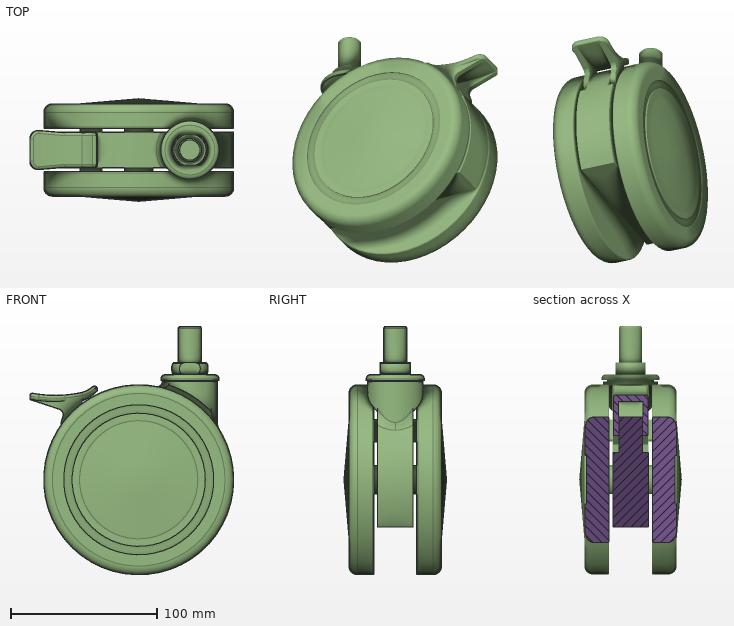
import cadquery as cq
import math


wheel_radius = 65.02
wheel_inner_y = 14.6
wheel_face_y = 31.6
hub_apex_y = 35.1
tread_round = 6.0
inner_edge_round = 1.0
groove_outer_radius = 51.3
groove_inner_radius = 45.5
groove_depth = 1.0
hub_cone_radius = 40.5

body_radius = 65.0
body_half_width = 12.2
body_bottom_z = -32.5
axle_boss_radius = 9.9
wheel_clearance_radius = 68.0
neck_x = 35.0
neck_radius = 18.9
neck_top_z = 67.2
neck_root_z = 25.5
neck_front_round = 3.4
neck_rear_round = 10.2

brake_bar_distance = 46.8
brake_bar_length = 19.4
brake_bar_offset = 0.7
brake_bar_thickness = 2.0
brake_bar_angle = 45.0

rib_half_width = 8.2
pocket_wall_x = -38.8
pocket_rim_z = 28.5
pocket_rim_x = -math.sqrt(body_radius**2 - pocket_rim_z**2)

lever_left_x = -74.55
lever_tip_x = -28.2
lever_pad_half_width = 13.5
lever_half_width = 11.9
pad_corner_round = 6.0
pad_taper_start_x = -68.3
pad_taper_end_x = -50.3
tip_corner_round = 1.7
lever_top_round = 2.0
lever_bottom_round = 1.0
pad_left_top_z = 59.7
pad_left_bottom_z = 54.9
bowl_x = -56.6
bowl_top_z = 57.8
bowl_bottom_z = 53.4
bend_x = pocket_wall_x
bend_top_z = 59.8
bend_bottom_z = 54.0
sweep_top_middle = (-33.5, 62.2)
sweep_bottom_middle = (-33.0, 57.0)
tip_top_z = 67.3
tip_bottom_z = 61.0

gusset_end = (-54.0, 48.1)
gusset_round_middle = (-52.2, 46.2)
heel_start = (-52.0, 42.8)
heel_middle = (-53.2, 37.4)
heel_end = (-51.7, 32.0)
cheek_bottom_z = 23.8

ring_radius = 16.0
collar_bottom_z = 68.0
collar_top_z = 71.9
collar_radius = 19.9
collar_round = 2.9
nut_top_z = 80.0
nut_middle_radius = 12.5
nut_shoulder_radius = 11.9
nut_end_radius = 11.0
nut_edge_height = 0.7
nut_half_flats = 10.4
stud_radius = 8.0
stud_chamfer = 1.0
stud_top_z = 170.0 - wheel_radius


def slab(sketch, y_start, y_end):
    """Extrude an XZ outline from y_start to y_end."""
    return sketch.extrude(-(y_end - y_start)).translate((0, y_start, 0))


def on_both_sides(shape):
    """The shape together with its mirror image across the XZ mid-plane."""
    return shape.union(shape.mirror("XZ"))


def disc(radius, y_start, y_end):
    return slab(cq.Workplane("XZ").circle(radius), y_start, y_end)


def make_wheel(side):
    """One wheel; side is -1 or +1 along Y."""
    profile = (
        cq.Workplane("XY")
        .moveTo(0, wheel_inner_y)
        .lineTo(wheel_radius, wheel_inner_y)
        .lineTo(wheel_radius, wheel_face_y)
        .lineTo(groove_outer_radius, wheel_face_y)
        .lineTo(groove_outer_radius, wheel_face_y - groove_depth)
        .lineTo(groove_inner_radius, wheel_face_y - groove_depth)
        .lineTo(groove_inner_radius, wheel_face_y)
        .lineTo(hub_cone_radius, wheel_face_y)
        .lineTo(0, hub_apex_y)
        .close()
    )
    wheel = profile.revolve(360, (0, 0, 0), (0, 1, 0))
    tread_edges = wheel.edges(cq.selectors.RadiusNthSelector(-1))
    wheel = tread_edges.edges(">Y").fillet(tread_round)
    wheel = wheel.faces("<Y").edges().fillet(inner_edge_round)
    return wheel if side > 0 else wheel.mirror("XZ")


def make_neck():
    """Vertical neck, narrowed to the body width where it passes between the wheels."""
    neck = (
        cq.Workplane("XY", origin=(neck_x, 0, neck_root_z))
        .circle(neck_radius)
        .extrude(neck_top_z - neck_root_z)
    )
    wheel_clearance = disc(wheel_clearance_radius, body_half_width, neck_radius)
    return neck.cut(on_both_sides(wheel_clearance))


def make_blend(radius, toward_x):
    """Body-wide slice of the rounded corner on one side (-1 front, 1 rear) of the neck."""
    rim = disc(body_radius, -body_radius, body_radius)
    tall_neck = cq.Workplane("XY").center(neck_x, 0).circle(neck_radius).extrude(2 * body_radius)
    corner_x = neck_x + toward_x * neck_radius
    corner_z = math.sqrt(body_radius**2 - corner_x**2)
    corner = cq.selectors.NearestToPointSelector((corner_x, 0, corner_z))
    rounded = rim.union(tall_neck).edges(corner).fillet(radius)
    window = cq.Workplane("XY", origin=(corner_x, 0, neck_root_z)).box(
        2 * neck_radius, 2 * body_half_width, neck_top_z - neck_root_z, centered=(True, True, False)
    )
    return rounded.intersect(window)


def make_housing():
    body = disc(body_radius, -body_half_width, body_half_width)
    below = cq.Workplane("XY", origin=(0, 0, body_bottom_z)).rect(3 * body_radius, 3 * body_radius)
    housing = body.cut(below.extrude(-body_radius)).union(make_neck())
    housing = housing.union(make_blend(neck_front_round, -1)).union(make_blend(neck_rear_round, 1))

    pocket_outline = (
        cq.Workplane("XZ")
        .moveTo(pocket_rim_x, pocket_rim_z)
        .lineTo(pocket_wall_x, pocket_rim_z - (pocket_wall_x - pocket_rim_x))
        .lineTo(pocket_wall_x, body_radius)
        .lineTo(-body_radius, body_radius)
        .close()
    )
    housing = housing.cut(on_both_sides(slab(pocket_outline, rib_half_width, wheel_inner_y)))

    bar_outline = (
        cq.Workplane("XZ")
        .center(brake_bar_offset, brake_bar_distance)
        .rect(brake_bar_length, brake_bar_thickness)
    )
    bar = slab(bar_outline, body_half_width, wheel_inner_y)
    bar = bar.rotate((0, 0, 0), (0, 1, 0), -brake_bar_angle)
    axle = disc(axle_boss_radius, -wheel_inner_y, wheel_inner_y)
    return housing.union(axle).union(on_both_sides(bar))


def make_pad_planform():
    """Seen from above: wide rounded pad tapering to the lever width."""
    corners = (
        cq.Workplane("XY")
        .moveTo(lever_left_x, -lever_pad_half_width)
        .lineTo(pad_taper_start_x, -lever_pad_half_width)
        .lineTo(pad_taper_end_x, -lever_half_width)
        .lineTo(lever_tip_x, -lever_half_width)
        .lineTo(lever_tip_x, lever_half_width)
        .lineTo(pad_taper_end_x, lever_half_width)
        .lineTo(pad_taper_start_x, lever_pad_half_width)
        .lineTo(lever_left_x, lever_pad_half_width)
        .close()
        .extrude(2 * body_radius)
    )
    return corners.edges("|Z and <X").fillet(pad_corner_round)


def make_lever():
    planform = make_pad_planform()
    pad_outline = (
        cq.Workplane("XZ")
        .moveTo(lever_left_x, pad_left_bottom_z)
        .lineTo(lever_left_x, pad_left_top_z)
        .threePointArc((bowl_x, bowl_top_z), (bend_x, bend_top_z))
        .threePointArc(sweep_top_middle, (lever_tip_x, tip_top_z))
        .lineTo(lever_tip_x, tip_bottom_z)
        .threePointArc(sweep_bottom_middle, (bend_x, bend_bottom_z))
        .threePointArc((bowl_x, bowl_bottom_z), (lever_left_x, pad_left_bottom_z))
        .close()
    )
    pad = slab(pad_outline, -lever_pad_half_width, lever_pad_half_width).intersect(planform)

    bowl_top = cq.selectors.NearestToPointSelector((bowl_x, 0, bowl_top_z))
    sweep_top = cq.selectors.NearestToPointSelector((sweep_top_middle[0], 0, sweep_top_middle[1]))
    bowl_bottom = cq.selectors.NearestToPointSelector((bowl_x, 0, bowl_bottom_z))
    pad = pad.faces(bowl_top + sweep_top).edges("(not |Y) or <X or >X").fillet(lever_top_round)
    pad = pad.edges("|Z").edges(">X").fillet(tip_corner_round)
    pad = pad.faces(bowl_bottom).edges("(not |Y) or <X").fillet(lever_bottom_round)

    cheek_top_z = (bowl_top_z + bowl_bottom_z) / 2
    cheek_outline = (
        cq.Workplane("XZ")
        .moveTo(lever_left_x, pad_left_bottom_z)
        .lineTo(*gusset_end)
        .threePointArc(gusset_round_middle, heel_start)
        .threePointArc(heel_middle, heel_end)
        .lineTo(pocket_wall_x, cheek_bottom_z)
        .lineTo(pocket_wall_x, (bend_top_z + bend_bottom_z) / 2)
        .threePointArc((bowl_x, cheek_top_z), (lever_left_x, pad_left_bottom_z))
        .close()
    )
    cheek = slab(cheek_outline, rib_half_width, lever_half_width).intersect(planform)
    return pad.union(on_both_sides(cheek))


def make_stem():
    nut_middle_z = (collar_top_z + nut_top_z) / 2
    turned = (
        cq.Workplane("XZ")
        .moveTo(0, neck_top_z)
        .lineTo(ring_radius, neck_top_z)
        .lineTo(ring_radius, collar_bottom_z)
        .lineTo(collar_radius, collar_bottom_z)
        .lineTo(collar_radius, collar_top_z)
        .lineTo(0, collar_top_z)
        .close()
        .revolve(360, (0, 0, 0), (0, 1, 0))
    )
    turned = turned.faces(">Z").edges().fillet(collar_round)
    nut = (
        cq.Workplane("XZ")
        .moveTo(0, collar_top_z)
        .lineTo(nut_end_radius, collar_top_z)
        .lineTo(nut_shoulder_radius, collar_top_z + nut_edge_height)
        .threePointArc(
            (nut_middle_radius, nut_middle_z),
            (nut_shoulder_radius, nut_top_z - nut_edge_height),
        )
        .lineTo(nut_end_radius, nut_top_z)
        .lineTo(0, nut_top_z)
        .close()
        .revolve(360, (0, 0, 0), (0, 1, 0))
    )
    flats = cq.Workplane("XY").box(3 * nut_middle_radius, 2 * nut_half_flats, 3 * stud_top_z)
    nut = nut.intersect(flats)
    stud = (
        cq.Workplane("XY", origin=(0, 0, collar_top_z))
        .circle(stud_radius)
        .extrude(stud_top_z - collar_top_z)
        .faces(">Z")
        .chamfer(stud_chamfer)
    )
    return turned.union(nut).union(stud).translate((neck_x, 0, 0))


wheels = [make_wheel(side) for side in (-1, 1)]
housing = make_housing()
lever = make_lever()
stem = make_stem()
result = cq.Compound.makeCompound(
    [*(wheel.val() for wheel in wheels), housing.val(), lever.val(), stem.val()]
)